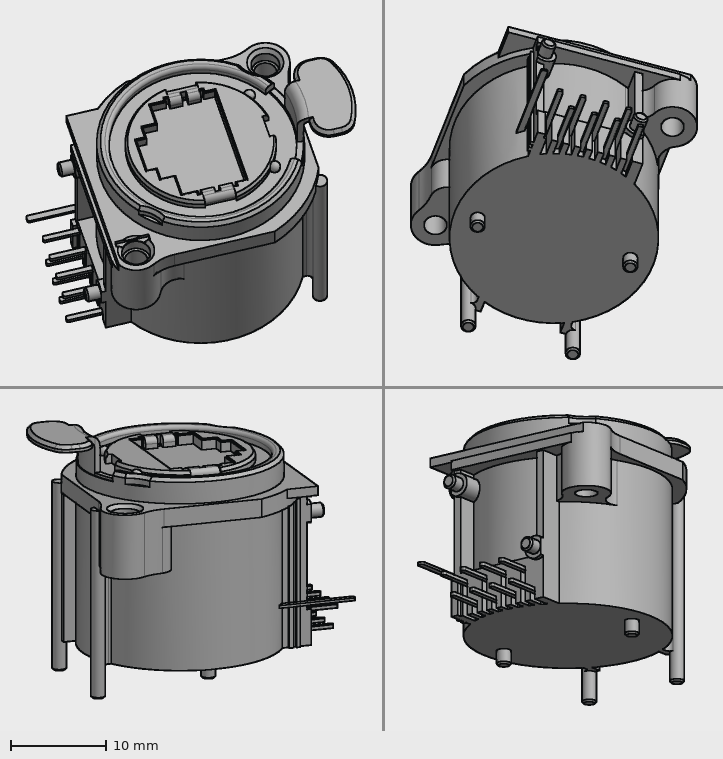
import cadquery as cq
import math


BODY_R = 11.0
BODY_BOTTOM = -18.25
FLANGE_THICK = 2.0
FLANGE_R = 12.5
FLANGE_HALF = 11.53
FLANGE_LIP = 1.0
LIP_FRONT = -12.15
LIP_LEFT = -8.98
PAD_POS = 9.9
PAD_R = 2.6
PAD_DEPTH = 7.0
PAD_FLANGE_FILLET = 5.0
PAD_BODY_FILLET = 2.15
POST_EDGE = (-11.55, 6.5)
POST_NOSE = (-11.05, 5.35)
POST_ROOT = (-9.9, 4.75)
HOLE_R = 1.2
COUNTERBORE_R = 1.5
COUNTERBORE_DEPTH = 1.7
COUNTERSINK_R = 1.93
MARK_RECESS = (0.64, 3.66, 0.4)
MARK_RECESS_X = 8.55

FRONT = -12.55
BLOCK_HALF = 5.88
BLOCK_FRONT = -12.06
WINDOW_HALF = 5.03
WINDOW_BOTTOM = -13.47
FOOT_TOP = -14.3
RAIL_OUT = 0.32
RAIL_SPANS = ((-10.46, -9.96), (-11.2, -10.8))
BOSS_R = 1.25
BOSSES = ((-5.08, -3.78), (5.08, -12.69))
PEG_R = 0.77
PEG_CHAMFER = 0.2
FRONT_PEG_END = -14.1

REAR_PEG_X = 5.78
REAR_PEG_Y = 11.4
REAR_PEG_END = -21.6
REAR_RIB = (4.4, 5.2)
BOTTOM_PEG_X = 8.44
BOTTOM_PEG_END = -19.85

CONTACT_COUNT = 8
CONTACT_PITCH = 1.27
CONTACT_WIDTH = 0.6
CONTACT_THICK = 0.4
CONTACT_TIP_Y = -16.0
CONTACT_ROOT_Y = -5.5
CONTACT_TOPS = (-14.42, -16.97)
GROUND_X = -6.57
GROUND_WIDTH = 0.75
GROUND_THICK = 0.3
GROUND_TOP = -13.25
GROUND_ROOT_Y = -8.45
GROUND_TIP_Y = -17.16
TIP_ROUNDING = 0.7

RING_TOP = 2.75
RING_R = 10.95
RING_INNER_R = 9.65
RING_OUTER_BEVEL = 0.4
RING_INNER_BEVEL = 0.45
RING_FLOOR = 1.7
GAP_HALF_ANGLE = 29.0
LOW_RIM = (10.1, 10.8)
LOW_RIM_TOP = 2.0
LOW_RIM_HALF_ANGLE = 28.0
SCREW_HEAD_R = 3.45
INSERT_R = 7.95
INSERT_TOP = 2.7
INSERT_BEVEL_WIDTH = 0.25
INSERT_BEVEL_HEIGHT = 0.4
KEY_HALF = 1.36
KEY_BOTTOM = 7.15
BUMP_R = 0.62
BUMP_POS = (4.83, 6.7, 2.0)
JACK_FLOOR = 1.5
JACK_HALF_OUTLINE = (
    (6.0, 3.25), (6.0, 2.05), (6.45, 2.05), (6.45, -2.05), (6.0, -2.05), (6.0, -3.75),
    (3.45, -3.75), (3.45, -5.35), (2.0, -5.35), (2.0, -6.45),
)
JACK_BEVEL = 0.15
CLIP_IN = 5.79
CLIP_OUT = 7.49
CLIP_HALF = 1.7
CLIP_FILLET = 0.64
CLIP_GAP = 0.6
CLIP_GAP_LENGTH = 0.9

LEVER_HALF = 2.5
LEVER_INNER_R = 10.15
LEVER_THICK = 0.7
LEVER_BEND_R = 0.5
LEVER_TOP = 6.0
HEAD_HALF = 5.05
HEAD_BOTTOM_Y = 11.15
HEAD_TOP_Y = 16.6
HEAD_CROWN = 1.5
HEAD_LOWER_FILLET = 2.0
HEAD_UPPER_FILLET = 1.8
HEAD_THICK = 0.75
HEAD_BEVEL = 0.4


def box(x0, x1, y0, y1, z0, z1):
    return cq.Workplane("XY").box(x1 - x0, y1 - y0, z1 - z0, centered=False).translate((x0, y0, z0))


def cylinder(radius, z0, z1, x=0.0, y=0.0):
    return cq.Workplane("XY").center(x, y).circle(radius).extrude(z1 - z0).translate((0, 0, z0))


def tube(inner, outer, z0, z1):
    return cq.Workplane("XY").circle(outer).circle(inner).extrude(z1 - z0).translate((0, 0, z0))


def sector(mid_angle, half_angle, z0, z1):
    """Wedge about the Z axis that reaches past the shell."""
    reach = 2 * BODY_R
    points = [(0, 0)]
    for angle in (mid_angle - half_angle, mid_angle + half_angle):
        points.append((reach * math.cos(math.radians(angle)), reach * math.sin(math.radians(angle))))
    return cq.Workplane("XY").polyline(points).close().extrude(z1 - z0).translate((0, 0, z0))


def both_pads(left_pad):
    return left_pad.union(left_pad.rotate((0, 0, 0), (0, 0, 1), 180))


def pad_on_flange(depth):
    """Left screw pad blended into the two straight flange sides, with that flange corner."""
    side = FLANGE_HALF + PAD_FLANGE_FILLET
    reach = PAD_R + PAD_FLANGE_FILLET
    tangent = PAD_POS - math.sqrt(reach**2 - (side - PAD_POS) ** 2)
    web = (
        cq.Workplane("XY")
        .polyline([
            (-PAD_POS, PAD_POS), (-side, tangent), (-FLANGE_HALF, tangent), (-tangent, tangent),
            (-tangent, FLANGE_HALF), (-tangent, side),
        ])
        .close()
        .extrude(-depth)
    )
    web = web.union(box(-FLANGE_HALF, 0, 0, FLANGE_HALF, -depth, 0))
    for x, y in ((-side, tangent), (-tangent, side)):
        web = web.cut(cylinder(PAD_FLANGE_FILLET, -depth, 0, x, y))
    return web.union(cylinder(PAD_R, -depth, 0, -PAD_POS, PAD_POS))


def left_pad_post():
    """Left screw pad post: the flange corner cut back to the body by a rounded nose on each side."""
    edge_x, edge_y = POST_EDGE
    nose_x, nose_y = POST_NOSE
    root_x, root_y = POST_ROOT
    far = 2 * FLANGE_HALF
    keep = (
        cq.Workplane("XY")
        .lineTo(root_x, root_y)
        .threePointArc((nose_x, nose_y), (edge_x, edge_y))
        .lineTo(-far, edge_y)
        .lineTo(-far, far)
        .lineTo(-edge_y, far)
        .lineTo(-edge_y, -edge_x)
        .threePointArc((-nose_y, -nose_x), (-root_y, -root_x))
        .close()
        .extrude(-PAD_DEPTH)
    )
    return pad_on_flange(PAD_DEPTH).intersect(keep)


def right_pad_post():
    """Right screw pad post blended into the round body by a concave fillet on each side."""
    distance = math.hypot(PAD_POS, PAD_POS)
    to_fillet = BODY_R + PAD_BODY_FILLET
    pad_to_fillet = PAD_R + PAD_BODY_FILLET
    cos_spread = (distance**2 + to_fillet**2 - pad_to_fillet**2) / (2 * distance * to_fillet)
    spread = math.acos(cos_spread)
    fillets = []
    for angle in (-math.pi / 4 - spread, -math.pi / 4 + spread):
        fillets.append((to_fillet * math.cos(angle), to_fillet * math.sin(angle)))
    post = (
        cq.Workplane("XY")
        .polyline([(0, 0), fillets[0], (PAD_POS, -PAD_POS), fillets[1]])
        .close()
        .extrude(-PAD_DEPTH)
    )
    for x, y in fillets:
        post = post.cut(cylinder(PAD_BODY_FILLET, -PAD_DEPTH, 0, x, y))
    return post.union(cylinder(PAD_R, -PAD_DEPTH, 0, PAD_POS, -PAD_POS))


def make_flange():
    square = box(-FLANGE_HALF, FLANGE_HALF, -FLANGE_HALF, FLANGE_HALF, -FLANGE_THICK, 0)
    flange = cylinder(FLANGE_R, -FLANGE_THICK, 0).intersect(square)
    flange = flange.union(both_pads(pad_on_flange(FLANGE_THICK)))
    flange = flange.union(left_pad_post()).union(right_pad_post())
    flange = flange.union(box(-BLOCK_HALF, PAD_POS, FRONT, 0, -FLANGE_THICK, 0))
    flange = flange.union(box(LIP_LEFT, PAD_POS, LIP_FRONT, 0, -FLANGE_LIP, 0))
    return flange.cut(box(-FLANGE_R, FLANGE_R, 2 * FRONT, LIP_FRONT, -FLANGE_LIP, 0))


def screw_hole(x, y):
    sink_depth = COUNTERSINK_R - COUNTERBORE_R
    profile = [
        (0, 0), (COUNTERSINK_R, 0), (COUNTERBORE_R, -sink_depth), (COUNTERBORE_R, -COUNTERBORE_DEPTH),
        (HOLE_R, -COUNTERBORE_DEPTH), (HOLE_R, -PAD_DEPTH), (0, -PAD_DEPTH),
    ]
    return cq.Workplane("XZ").polyline(profile).close().revolve(360, (0, 0), (0, 1)).translate((x, y, 0))


def mark_recess():
    width, length, depth = MARK_RECESS
    return (
        cq.Workplane("XY").box(width, length, depth).translate((MARK_RECESS_X, -PAD_POS, -depth / 2))
    )


def contact_positions():
    """(x, top z) of each contact; they alternate between the upper and lower row."""
    first = -CONTACT_PITCH * (CONTACT_COUNT - 1) / 2
    return [(first + i * CONTACT_PITCH, CONTACT_TOPS[i % 2]) for i in range(CONTACT_COUNT)]


def make_front_block():
    block = box(-BLOCK_HALF, BLOCK_HALF, BLOCK_FRONT, 0, BODY_BOTTOM, 0)
    block = block.union(box(-BLOCK_HALF, -WINDOW_HALF, FRONT, BLOCK_FRONT, BODY_BOTTOM, FOOT_TOP))
    block = block.cut(box(-WINDOW_HALF, WINDOW_HALF, FRONT, 0, WINDOW_BOTTOM, -FLANGE_THICK))
    for x, top in contact_positions():
        half = CONTACT_WIDTH / 2
        block = block.cut(box(x - half, x + half, FRONT, 0, BODY_BOTTOM, top))
    for y0, y1 in RAIL_SPANS:
        block = block.union(box(-BLOCK_HALF - RAIL_OUT, -BLOCK_HALF, y0, y1, BODY_BOTTOM, -FLANGE_THICK))
    clip = box(-BLOCK_HALF, BLOCK_HALF, FRONT, 0, BODY_BOTTOM, 0)
    for x, z in BOSSES:
        boss = cq.Workplane("XZ").center(x, z).circle(BOSS_R).extrude(-FRONT)
        block = block.union(boss.intersect(clip))
    return block


def front_peg(x, z):
    peg = cq.Workplane("XZ").center(x, z).circle(PEG_R).extrude(-FRONT_PEG_END)
    return peg.faces("<Y").chamfer(PEG_CHAMFER)


def down_peg(x, y, end):
    return cylinder(PEG_R, end, -FLANGE_LIP, x, y).faces("<Z").chamfer(PEG_CHAMFER)


def right_rear_peg():
    """Long peg tied to the body by a rib with a concave fillet on its outer side."""
    inner, outer = REAR_RIB
    fillet_y = REAR_PEG_Y - PEG_R - (REAR_PEG_X - outer)
    peg = down_peg(REAR_PEG_X, REAR_PEG_Y, REAR_PEG_END)
    peg = peg.union(box(inner, outer, 0, REAR_PEG_Y, BODY_BOTTOM, -FLANGE_LIP))
    flare = box(outer, REAR_PEG_X, fillet_y, REAR_PEG_Y, BODY_BOTTOM, -FLANGE_LIP)
    flare = flare.cut(cylinder(REAR_PEG_X - outer, BODY_BOTTOM, -FLANGE_LIP, REAR_PEG_X, fillet_y))
    return peg.union(flare)


def make_pegs():
    pegs = front_peg(*BOSSES[0]).union(front_peg(*BOSSES[1]))
    rear = right_rear_peg()
    pegs = pegs.union(rear).union(rear.mirror("YZ"))
    for side in (-1, 1):
        pegs = pegs.union(down_peg(side * BOTTOM_PEG_X, 0, BOTTOM_PEG_END))
    return pegs


def flat_pin(x, width, top, thick, root_y, tip_y):
    """Flat pin along Y with rounded corners at its tip."""
    half = width / 2
    pin = box(x - half, x + half, tip_y, root_y, top - thick, top)
    return pin.edges("|Z and <Y").fillet(TIP_ROUNDING * half)


def make_contacts():
    pins = flat_pin(GROUND_X, GROUND_WIDTH, GROUND_TOP, GROUND_THICK, GROUND_ROOT_Y, GROUND_TIP_Y)
    for x, top in contact_positions():
        pins = pins.union(flat_pin(x, CONTACT_WIDTH, top, CONTACT_THICK, CONTACT_ROOT_Y, CONTACT_TIP_Y))
    return pins


def screw_head_clearance():
    """Round clearance at the left pad, flared at 45 degrees along the ring bevel."""
    bevel_z = RING_TOP - RING_OUTER_BEVEL
    flare = (
        cq.Workplane("XY", origin=(-PAD_POS, PAD_POS, bevel_z))
        .circle(SCREW_HEAD_R)
        .extrude(RING_OUTER_BEVEL, taper=-45)
    )
    return cylinder(SCREW_HEAD_R, RING_FLOOR, bevel_z, -PAD_POS, PAD_POS).union(flare)


def make_ring():
    ring = tube(RING_INNER_R, RING_R, 0, RING_TOP)
    ring = ring.faces(">Z").edges(cq.selectors.RadiusNthSelector(1)).chamfer(RING_OUTER_BEVEL)
    ring = ring.faces(">Z").edges(cq.selectors.RadiusNthSelector(0)).fillet(RING_INNER_BEVEL)
    ring = ring.cut(sector(90, GAP_HALF_ANGLE, RING_FLOOR, RING_TOP))
    rim = tube(*LOW_RIM, 0, LOW_RIM_TOP).intersect(sector(90, LOW_RIM_HALF_ANGLE, 0, LOW_RIM_TOP))
    ring = ring.union(rim).union(cylinder(RING_INNER_R, 0, RING_FLOOR))
    return ring.cut(both_pads(screw_head_clearance()))


def make_clip():
    """Latch clip on the right side of the jack, split in two along its inner edge."""
    clip = box(CLIP_IN, CLIP_OUT, -CLIP_HALF, CLIP_HALF, JACK_FLOOR, INSERT_TOP)
    clip = clip.faces(">Z").edges("|Y").fillet(CLIP_FILLET)
    gap = box(CLIP_IN, CLIP_IN + CLIP_GAP_LENGTH, -CLIP_GAP / 2, CLIP_GAP / 2, JACK_FLOOR, INSERT_TOP)
    return clip.cut(gap)


def jack_opening():
    mirrored = [(-x, y) for x, y in reversed(JACK_HALF_OUTLINE)]
    outline = list(JACK_HALF_OUTLINE) + mirrored
    opening = cq.Workplane("XY").polyline(outline).close().extrude(INSERT_TOP - JACK_FLOOR)
    rim = (
        cq.Workplane("XY")
        .polyline(outline)
        .close()
        .offset2D(JACK_BEVEL, "intersection")
        .extrude(-JACK_BEVEL)
        .translate((0, 0, INSERT_TOP))
    )
    return opening.translate((0, 0, JACK_FLOOR)).union(rim)


def add_insert(part):
    insert = cylinder(INSERT_R, 0, INSERT_TOP).faces(">Z").chamfer(INSERT_BEVEL_HEIGHT, INSERT_BEVEL_WIDTH)
    insert = insert.cut(box(-KEY_HALF, KEY_HALF, KEY_BOTTOM, INSERT_R, RING_FLOOR, INSERT_TOP))
    part = part.union(insert).cut(jack_opening())
    bump_x, bump_y, bump_z = BUMP_POS
    for side in (-1, 1):
        x0, x1 = sorted((side * CLIP_IN, side * INSERT_R))
        bump = cq.Workplane("XY").sphere(BUMP_R).translate((side * bump_x, bump_y, bump_z))
        part = part.union(bump).cut(box(x0, x1, -CLIP_HALF, CLIP_HALF, RING_FLOOR, INSERT_TOP))
    clip = make_clip()
    return part.union(clip).union(clip.mirror("YZ"))


def make_lever():
    """Curved neck and bend turned about the shell axis, with a flat thumb plate on top."""
    outer = LEVER_INNER_R + LEVER_THICK
    bend_outer = LEVER_BEND_R + LEVER_THICK
    bend_r = outer + LEVER_BEND_R
    bend_z = LEVER_TOP - bend_outer
    half_angle = math.degrees(math.asin(LEVER_HALF / outer))
    diagonal = math.sqrt(0.5)
    neck = (
        cq.Workplane("XZ")
        .moveTo(LEVER_INNER_R, 0)
        .lineTo(LEVER_INNER_R, bend_z)
        .threePointArc(
            (bend_r - bend_outer * diagonal, bend_z + bend_outer * diagonal), (bend_r, LEVER_TOP)
        )
        .lineTo(bend_r + LEVER_THICK, LEVER_TOP)
        .lineTo(bend_r + LEVER_THICK, LEVER_TOP - LEVER_THICK)
        .lineTo(bend_r, LEVER_TOP - LEVER_THICK)
        .threePointArc(
            (bend_r - LEVER_BEND_R * diagonal, bend_z + LEVER_BEND_R * diagonal), (outer, bend_z)
        )
        .lineTo(outer, 0)
        .close()
        .revolve(360, (0, 0), (0, 1))
        .intersect(box(-LEVER_HALF, LEVER_HALF, 0, HEAD_TOP_Y, 0, LEVER_TOP))
        .intersect(sector(90, half_angle, 0, LEVER_TOP))
    )
    head = (
        cq.Workplane("XY")
        .moveTo(-HEAD_HALF, HEAD_BOTTOM_Y)
        .lineTo(HEAD_HALF, HEAD_BOTTOM_Y)
        .lineTo(HEAD_HALF, HEAD_TOP_Y - HEAD_CROWN)
        .threePointArc((0, HEAD_TOP_Y), (-HEAD_HALF, HEAD_TOP_Y - HEAD_CROWN))
        .close()
        .extrude(HEAD_THICK)
        .translate((0, 0, LEVER_TOP - HEAD_THICK))
    )
    head = head.edges("|Z").edges(">Y").fillet(HEAD_UPPER_FILLET)
    head = head.edges("|Z").edges("<Y").fillet(HEAD_LOWER_FILLET)
    head = head.faces(">Z").chamfer(HEAD_BEVEL)
    return neck.union(head)


def make_part():
    part = cylinder(BODY_R, BODY_BOTTOM, 0).union(make_front_block()).union(make_flange())
    part = part.union(make_pegs()).union(make_contacts()).union(make_ring())
    for x, y in ((-PAD_POS, PAD_POS), (PAD_POS, -PAD_POS)):
        part = part.cut(screw_hole(x, y))
    part = part.cut(mark_recess())
    return add_insert(part).union(make_lever())


result = make_part()